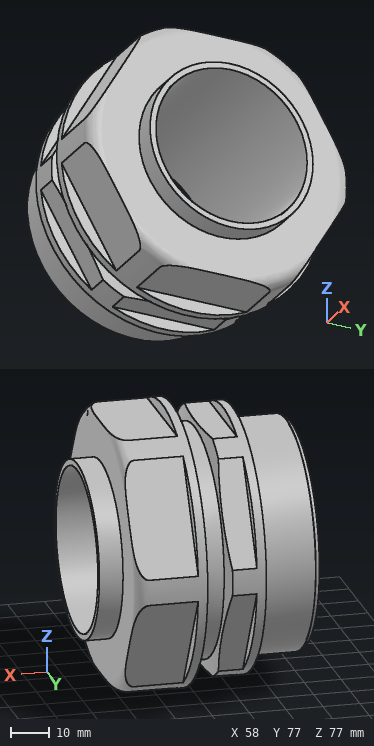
import cadquery as cq

bore_diameter = 44.5
outlet_diameter = 48.0
lip_diameter = 61.1
barrel_diameter = 63.0
lip_cone_length = 0.3

lip_end = 1.0
body_collar_start = 15.9
body_hex_end = 26.1
nut_collar_start = 32.35
nut_end = 51.6
total_length = 58.0

collar_width = 2.55
body_collar_diameter = 72.5
body_hex_flats = 66.1
body_chamfer_length = 1.1
body_chamfer_depth = 4.0
nut_collar_diameter = 77.0
nut_hex_flats = 69.9
nut_rounding = 3.5


def cylinder(start, end, diameter):
    """Solid cylinder on the X axis between two positions."""
    return cq.Workplane("YZ", origin=(start, 0, 0)).circle(diameter / 2).extrude(end - start)


def cut_flats(blank, start, end, across_flats, outer_diameter):
    """Cut six flats, two of them facing +Z and -Z, on a round blank."""
    for index in range(6):
        waste = cq.Workplane("XY").box(
            end - start, outer_diameter, outer_diameter, centered=(False, True, False)
        )
        waste = waste.translate((start, 0, across_flats / 2))
        blank = blank.cut(waste.rotate((0, 0, 0), (1, 0, 0), 60 * index))
    return blank


body_blank = cylinder(body_collar_start, body_hex_end, body_collar_diameter)
body_blank = body_blank.faces(">X").edges().chamfer(body_chamfer_length, body_chamfer_depth)
body_hex = cut_flats(
    body_blank, body_collar_start + collar_width, body_hex_end, body_hex_flats, body_collar_diameter
)

nut_blank = cylinder(nut_collar_start, nut_end, nut_collar_diameter)
nut_blank = nut_blank.faces(">X").edges().fillet(nut_rounding)
nut_hex = cut_flats(
    nut_blank, nut_collar_start + collar_width, nut_end, nut_hex_flats, nut_collar_diameter
)

lip = cylinder(0, lip_end, lip_diameter)
barrel = cylinder(lip_end, nut_end, barrel_diameter)
barrel = barrel.faces("<X").edges().chamfer(lip_cone_length, (barrel_diameter - lip_diameter) / 2)
outlet = cylinder(nut_end, total_length, outlet_diameter)

bore = cylinder(0, total_length, bore_diameter)
result = barrel.union(lip).union(outlet).union(body_hex).union(nut_hex).cut(bore)